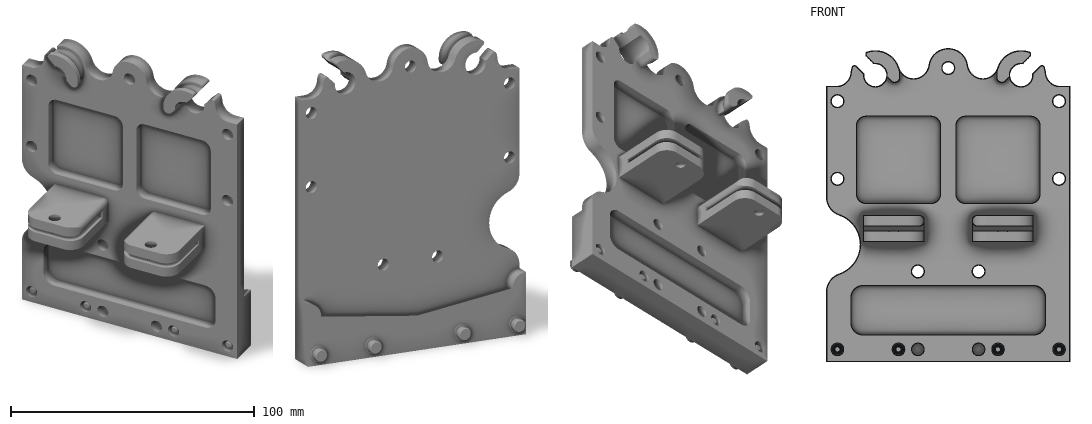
import cadquery as cq
import math


plate_width = 100.0
plate_thickness = 6.0
half_width = plate_width / 2
shoulder_z = 113.0
plate_top_z = 128.5

lobe_radius = 8.0
lobe_z = plate_top_z - lobe_radius
hook_x = 30.0
hook_z = 117.6
hook_radius = 10.0
hook_bore_radius = 4.8
hook_slot_width = 5.9
hook_slot_turn = -135
hook_tip_radius = 1.0
hook_end_radius = 2.0
shoulder_blend_radius = 6.0
valley_radius = 6.4

boss_length = 8.0
neck_radius = 8.7
neck_length = 3.6
lip_length = 2.3

bite_z = 48.1
bite_radius = 12.9
bite_inset = 1.0
bite_blend_radius = 7.7

plate_hole_diameter = 5.1
side_hole_x = 45.5
side_hole_heights = (75.1, 107.0)
middle_hole_x = 12.5
middle_hole_z = 37.0

pocket_depth = 4.5
upper_pocket_width = 34.6
upper_pocket_bottom_z = 64.9
upper_pocket_top_z = 100.8
upper_pocket_x = 20.5
upper_pocket_corner = 4.0
lower_pocket_width = 80.0
lower_pocket_bottom_z = 10.9
lower_pocket_top_z = 31.2
lower_pocket_corner = 5.0

lug_x = 22.4
lug_width = 25.0
lug_length = 28.0
lug_height = 10.8
lug_bottom_z = 49.2
lug_slot_width = 2.0
lug_web = 5.0
lug_corner_radius = 6.0
lug_edge_radius = 2.0
lug_hole_from_end = 4.5
lug_upper_hole_diameter = 5.1
lug_lower_hole_diameter = 4.0

bar_thickness = 6.0
bar_height = 26.9
ear_width = 6.0
trough_low_z = 9.0
trough_rise_sideways = 0.13
trough_rise_back = 1.0

screw_z = 5.0
inner_screw_x = 20.5
screw_positions_x = (-side_hole_x, -inner_screw_x, inner_screw_x, side_hole_x)
screw_diameter = 3.0
screw_length = 12.0
screw_tip_chamfer = 0.4
head_diameter = 5.5
head_height = 3.0
head_chamfer = 0.4
bar_hole_diameter = 4.0
washer_diameter = 7.0
washer_hole_diameter = 3.2
washer_thickness = 0.5

plate_back = plate_thickness
bar_back = plate_back + bar_thickness
washer_back = bar_back + washer_thickness


def front_sketch(y):
    """Workplane facing -Y at the given Y, with X to the right and Z up."""
    return cq.Workplane("XZ", origin=(0, y, 0))


def disc(x, z, diameter, y_front, y_back):
    """Cylinder along Y between two Y positions."""
    return front_sketch(y_back).center(x, z).circle(diameter / 2).extrude(y_back - y_front)


def front_block(x_min, x_max, z_min, z_max, y_front, y_back):
    """Box given by its limits."""
    size = (x_max - x_min, y_back - y_front, z_max - z_min)
    return cq.Workplane("XY").box(*size, centered=False).translate((x_min, y_front, z_min))


def mirrored(shape):
    return shape.mirror("YZ")


def toward(start, end, distance):
    """Point at a distance from start on the way to end."""
    length = math.dist(start, end)
    return tuple(a + (b - a) * distance / length for a, b in zip(start, end))


def circle_meeting(center_a, reach_a, center_b, reach_b):
    """Upper of the two points at the given reaches from two centres, center_a being on the left."""
    span = math.dist(center_a, center_b)
    along = (reach_a**2 - reach_b**2 + span**2) / (2 * span)
    across = math.sqrt(reach_a**2 - along**2)
    unit_x = (center_b[0] - center_a[0]) / span
    unit_z = (center_b[1] - center_a[1]) / span
    return (center_a[0] + along * unit_x - across * unit_z, center_a[1] + along * unit_z + across * unit_x)


def midpoint(a, b):
    return ((a[0] + b[0]) / 2, (a[1] + b[1]) / 2)


def fillet_edge_at(solid, x, y, z, radius):
    """Round the edge along Y whose middle lies at the given point."""
    nearest = cq.selectors.NearestToPointSelector((x, y, z))
    return solid.edges("|Y").edges(nearest).fillet(radius)


def flip(point):
    return (-point[0], point[1])


def plate_blank():
    """Plate outline with full discs where the hooks will be cut."""
    hook = (-hook_x, hook_z)
    lobe = (0, lobe_z)

    blend_z = shoulder_z + shoulder_blend_radius
    blend_reach = hook_radius + shoulder_blend_radius
    blend_x = -hook_x - math.sqrt(blend_reach**2 - (blend_z - hook_z) ** 2)
    blend = (blend_x, blend_z)
    blend_start = (blend_x, shoulder_z)
    blend_end = toward(blend, hook, shoulder_blend_radius)
    blend_middle = toward(blend, midpoint(blend_start, blend_end), shoulder_blend_radius)

    valley = circle_meeting(hook, hook_radius + valley_radius, lobe, lobe_radius + valley_radius)
    valley_start = toward(hook, valley, hook_radius)
    valley_end = toward(lobe, valley, lobe_radius)
    valley_bottom = (valley[0], valley[1] - valley_radius)

    hook_top = (-hook_x, hook_z + hook_radius)
    return (
        front_sketch(plate_back)
        .moveTo(-half_width, 0)
        .lineTo(-half_width, shoulder_z)
        .lineTo(*blend_start)
        .threePointArc(blend_middle, blend_end)
        .threePointArc(hook_top, valley_start)
        .threePointArc(valley_bottom, valley_end)
        .threePointArc((0, plate_top_z), flip(valley_end))
        .threePointArc(flip(valley_bottom), flip(valley_start))
        .threePointArc(flip(hook_top), flip(blend_end))
        .threePointArc(flip(blend_middle), flip(blend_start))
        .lineTo(half_width, shoulder_z)
        .lineTo(half_width, 0)
        .close()
        .extrude(plate_thickness)
    )


def edge_bite():
    """Round bite in the left edge, flaring out to it through two blends."""
    center = (bite_inset - half_width, bite_z)
    blend_x = bite_blend_radius - half_width
    rise = math.sqrt((bite_radius + bite_blend_radius) ** 2 - (blend_x - center[0]) ** 2)
    blend = (blend_x, bite_z + rise)
    blend_start = (-half_width, bite_z + rise)
    blend_end = toward(center, blend, bite_radius)
    blend_middle = toward(blend, midpoint(blend_start, blend_end), bite_blend_radius)

    def below(point):
        return (point[0], 2 * bite_z - point[1])

    return (
        front_sketch(plate_back)
        .moveTo(*blend_start)
        .threePointArc(blend_middle, blend_end)
        .threePointArc((center[0] + bite_radius, bite_z), below(blend_end))
        .threePointArc(below(blend_middle), below(blend_start))
        .close()
        .extrude(plate_thickness)
    )


def hook_tip(side):
    """Tip beside a left hook's slot, measured from the hook's centre; side is 1 above the slot, -1 below."""
    across = side * hook_slot_width / 2
    along = math.sqrt(hook_radius**2 - across**2)
    return ((across - along) / math.sqrt(2), (across + along) / math.sqrt(2))


def cut_hooks(plate):
    """Bore both hooks and open each one with a slot leading up and outward."""
    bore = disc(-hook_x, hook_z, 2 * hook_bore_radius, 0, plate_back)
    slot = front_block(0, 2 * hook_radius, -hook_slot_width / 2, hook_slot_width / 2, 0, plate_back)
    slot = slot.rotate((0, 0, 0), (0, 1, 0), hook_slot_turn).translate((-hook_x, 0, hook_z))
    plate = plate.cut(slot).cut(mirrored(slot))
    for side in (-1, 1):
        tip_x, tip_z = hook_tip(side)
        for x in (tip_x - hook_x, hook_x - tip_x):
            plate = fillet_edge_at(plate, x, plate_back / 2, hook_z + tip_z, hook_tip_radius)
    return plate.cut(bore).cut(mirrored(bore))


def hook_boss():
    """Boss in front of the left hook: half a ring with a groove behind its lip."""
    tip = hook_tip(1)
    arc_middle = (hook_radius / math.sqrt(2), hook_radius / math.sqrt(2))
    low_corner = (hook_radius, hook_slot_width / math.sqrt(2) - hook_radius)
    boss = (
        front_sketch(0)
        .moveTo(*tip)
        .threePointArc(arc_middle, (hook_radius, 0))
        .lineTo(*low_corner)
        .close()
        .extrude(boss_length)
    )
    boss = fillet_edge_at(boss, tip[0], -boss_length / 2, tip[1], hook_tip_radius)
    boss = fillet_edge_at(boss, low_corner[0], -boss_length / 2, low_corner[1], hook_end_radius)

    clear_radius = 2 * hook_radius
    cone_end = boss_length - lip_length
    groove = (
        cq.Workplane("XY")
        .moveTo(neck_radius, 0)
        .lineTo(neck_radius, -neck_length)
        .lineTo(hook_radius, -cone_end)
        .lineTo(clear_radius, -cone_end)
        .lineTo(clear_radius, 0)
        .close()
        .revolve(360, (0, 0, 0), (0, 1, 0))
    )
    bore = disc(0, 0, 2 * hook_bore_radius, -boss_length, 0)
    return boss.cut(groove).cut(bore).translate((-hook_x, 0, hook_z))


def pocket(x, width, z_min, z_max, corner):
    block = front_block(x - width / 2, x + width / 2, z_min, z_max, 0, pocket_depth)
    return block.edges("|Y").fillet(corner)


def lug_rounding(x_edge, z_edge, y_back, upward):
    """Waste outside a round along Y on an edge of the left lug's inner side."""
    r = lug_edge_radius
    z_axis = z_edge - upward * r
    corner = front_block(x_edge - r, x_edge, min(z_edge, z_axis), max(z_edge, z_axis), -lug_length, y_back)
    return corner.cut(disc(x_edge - r, z_axis, 2 * r, -lug_length, y_back))


def lug():
    """Left lug: two legs with a slot between them, the upper leg rounded along its inner side."""
    x_min = -lug_x - lug_width / 2
    x_max = -lug_x + lug_width / 2
    top_z = lug_bottom_z + lug_height
    middle_z = lug_bottom_z + lug_height / 2
    slot_bottom_z = middle_z - lug_slot_width / 2
    slot_top_z = middle_z + lug_slot_width / 2
    body = front_block(x_min, x_max, lug_bottom_z, top_z, -lug_length, 0)
    body = body.edges("|Z and <Y").fillet(lug_corner_radius)
    body = body.cut(front_block(x_min, x_max, slot_bottom_z, slot_top_z, -lug_length, -lug_web))

    body = body.cut(lug_rounding(x_max, top_z, 0, 1))
    body = body.cut(lug_rounding(x_max, slot_top_z, -lug_web, -1))

    hole = cq.Workplane("XY", origin=(-lug_x, lug_hole_from_end - lug_length, 0))
    lower_hole = hole.circle(lug_lower_hole_diameter / 2).extrude(middle_z)
    upper_hole = hole.workplane(offset=middle_z).circle(lug_upper_hole_diameter / 2).extrude(lug_height)
    return body.cut(lower_hole).cut(upper_hole)


def plate_hole_positions():
    positions = [(0, lobe_z)]
    for side in (-1, 1):
        positions += [(side * side_hole_x, z) for z in side_hole_heights]
        positions += [(side * middle_hole_x, z) for z in (screw_z, middle_hole_z)]
    positions += [(x, screw_z) for x in screw_positions_x]
    return positions


def make_plate():
    plate = cut_hooks(plate_blank()).cut(edge_bite())
    for x, z in plate_hole_positions():
        plate = plate.cut(disc(x, z, plate_hole_diameter, 0, plate_back))
    for x in (-upper_pocket_x, upper_pocket_x):
        plate = plate.cut(
            pocket(x, upper_pocket_width, upper_pocket_bottom_z, upper_pocket_top_z, upper_pocket_corner)
        )
    plate = plate.cut(
        pocket(0, lower_pocket_width, lower_pocket_bottom_z, lower_pocket_top_z, lower_pocket_corner)
    )
    for feature in (hook_boss(), lug()):
        plate = plate.union(feature).union(mirrored(feature))
    return plate


def trough_half():
    """Right half of the space between the ears; its floor climbs toward the ear and toward the back."""

    def section(x):
        front_z = trough_low_z + trough_rise_sideways * x
        back_z = front_z + trough_rise_back * bar_thickness
        floor = [(plate_back, front_z), (bar_back, back_z)]
        corners = floor + [(bar_back, bar_height), (plate_back, bar_height)]
        return cq.Wire.makePolygon([cq.Vector(x, y, z) for y, z in corners], close=True)

    ear_inner_x = half_width - ear_width
    return cq.Workplane(cq.Solid.makeLoft([section(0), section(ear_inner_x)], True))


def ear_rounding():
    """Waste outside the quarter round on the right ear's inner top edge."""
    axis_z = bar_height - ear_width
    corner = front_block(half_width - ear_width, half_width, axis_z, bar_height, plate_back, bar_back)
    return corner.cut(disc(half_width, axis_z, 2 * ear_width, plate_back, bar_back))


def make_bar():
    bar = front_block(-half_width, half_width, 0, bar_height, plate_back, bar_back)
    for waste in (trough_half(), ear_rounding()):
        bar = bar.cut(waste).cut(mirrored(waste))
    for x in screw_positions_x:
        bar = bar.cut(disc(x, screw_z, bar_hole_diameter, plate_back, bar_back))
    return bar


def make_washer(x):
    ring = disc(x, screw_z, washer_diameter, bar_back, washer_back)
    return ring.cut(disc(x, screw_z, washer_hole_diameter, bar_back, washer_back))


def make_screw(x):
    shank = disc(x, screw_z, screw_diameter, washer_back - screw_length, washer_back)
    shank = shank.faces("<Y").chamfer(screw_tip_chamfer)
    head = disc(x, screw_z, head_diameter, washer_back, washer_back + head_height)
    head = head.faces(">Y").edges().chamfer(head_chamfer)
    return shank.union(head)


plate = make_plate()
bar = make_bar()
washers = [make_washer(x) for x in screw_positions_x]
screws = [make_screw(x) for x in screw_positions_x]

result = cq.Compound.makeCompound(
    [plate.val(), bar.val(), *[washer.val() for washer in washers], *[screw.val() for screw in screws]]
)